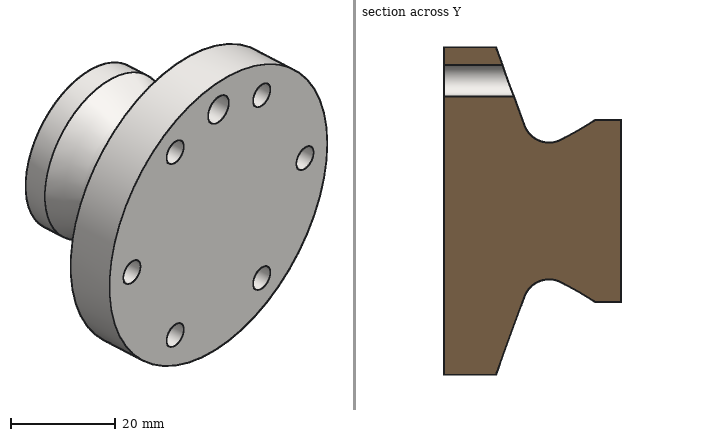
import cadquery as cq
import math

length = 34.0
flange_radius = 31.5
flange_thickness = 10.0
cap_radius = 17.5
cap_thickness = 5.0

cap_cone_angle = math.radians(30)
flange_cone_angle = math.radians(70)
neck_arc_radius = 5.0

pitch_radius = 25.0
bolt_hole_diameter = 5.0
bolt_hole_count = 6
large_hole_diameter = 6.0

cap_face_x = -length / 2
cap_back_x = cap_face_x + cap_thickness
flange_back_x = length / 2
flange_front_x = flange_back_x - flange_thickness

cap_slope = math.tan(cap_cone_angle)
flange_slope = math.tan(flange_cone_angle)
cap_line_height = cap_radius + cap_back_x * cap_slope + neck_arc_radius / math.cos(cap_cone_angle)
flange_line_height = (
    flange_radius - flange_front_x * flange_slope + neck_arc_radius / math.cos(flange_cone_angle)
)
arc_center_x = (cap_line_height - flange_line_height) / (cap_slope + flange_slope)
arc_center_r = cap_line_height - arc_center_x * cap_slope


def neck_arc_point(angle):
    """Point on the neck arc, at an angle from its narrowest point towards the flange."""
    return (
        arc_center_x + neck_arc_radius * math.sin(angle),
        arc_center_r - neck_arc_radius * math.cos(angle),
    )


def turned_body():
    return (
        cq.Workplane("XY")
        .moveTo(cap_face_x, 0)
        .lineTo(cap_face_x, cap_radius)
        .lineTo(cap_back_x, cap_radius)
        .lineTo(*neck_arc_point(-cap_cone_angle))
        .threePointArc(neck_arc_point(0), neck_arc_point(flange_cone_angle))
        .lineTo(flange_front_x, flange_radius)
        .lineTo(flange_back_x, flange_radius)
        .lineTo(flange_back_x, 0)
        .close()
        .revolve(360, (0, 0, 0), (1, 0, 0))
    )


def flange_holes():
    """Cutters along X: an even ring of bolt holes and one larger hole at the top."""
    plane = cq.Workplane("YZ", origin=(cap_face_x, 0, 0))
    bolt_holes = (
        plane.polarArray(pitch_radius, 0, 360, bolt_hole_count)
        .circle(bolt_hole_diameter / 2)
        .extrude(length)
    )
    large_hole = plane.center(0, pitch_radius).circle(large_hole_diameter / 2).extrude(length)
    return bolt_holes.add(large_hole).combine()


result = turned_body().cut(flange_holes())